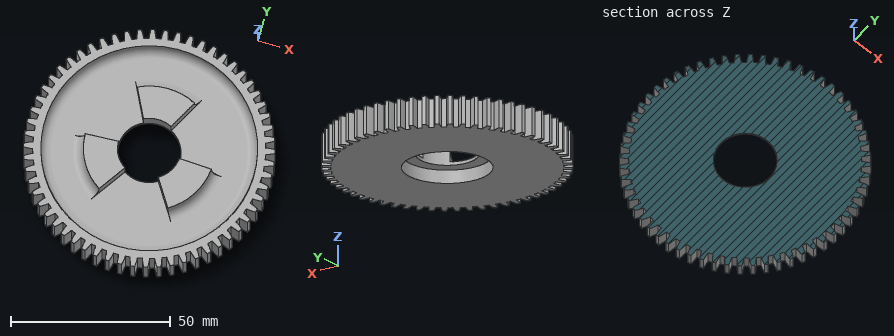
import cadquery as cq
import math

OVERALL_SIZE = 78.7
THICKNESS = 9.5
TOOTH_COUNT = 60
TOOTH_DEPTH = 2.9
TIP_WIDTH = 1.25
MID_WIDTH = 1.9
ROOT_WIDTH = 2.3

POCKET_RADIUS = 33.9
POCKET_DEPTH = 3.9
FILLET_RADIUS = 3.15

BORE_RADIUS = 9.9
COUNTERBORE_RADIUS = 14.3
WEB_AT_BORE = 1.2

DOG_COUNT = 3
DOG_RADIUS = 20.6
DOG_ANGLE = 54.0
FIRST_DOG_DIRECTION = 90.0

PITCH_ANGLE = 360.0 / TOOTH_COUNT
TIP_HALF_ANGLE = math.degrees(TIP_WIDTH / OVERALL_SIZE)
TIP_RADIUS = OVERALL_SIZE / 2 / math.cos(math.radians(PITCH_ANGLE / 2 - TIP_HALF_ANGLE))
ROOT_RADIUS = TIP_RADIUS - TOOTH_DEPTH
MID_RADIUS = TIP_RADIUS - TOOTH_DEPTH / 2
FLOOR_Z = THICKNESS - POCKET_DEPTH
COUNTERBORE_DEPTH = FLOOR_Z - WEB_AT_BORE
FILLET_TOP_Z = FLOOR_Z + FILLET_RADIUS


def polar(radius, degrees):
    angle = math.radians(degrees)
    return (radius * math.cos(angle), radius * math.sin(angle))


def half_angle(width, radius):
    return math.degrees(width / 2 / radius)


def toothed_blank():
    """Solid gear disc with curved tooth flanks."""
    mid_half = half_angle(MID_WIDTH, MID_RADIUS)
    root_half = half_angle(ROOT_WIDTH, ROOT_RADIUS)
    first_center = PITCH_ANGLE / 2
    outline = cq.Workplane("XY").moveTo(*polar(ROOT_RADIUS, first_center - root_half))
    for index in range(TOOTH_COUNT):
        center = first_center + index * PITCH_ANGLE
        next_gap = center + PITCH_ANGLE / 2
        next_root = center + PITCH_ANGLE - root_half
        outline = (
            outline
            .threePointArc(polar(MID_RADIUS, center - mid_half), polar(TIP_RADIUS, center - TIP_HALF_ANGLE))
            .threePointArc(polar(TIP_RADIUS, center), polar(TIP_RADIUS, center + TIP_HALF_ANGLE))
            .threePointArc(polar(MID_RADIUS, center + mid_half), polar(ROOT_RADIUS, center + root_half))
            .threePointArc(polar(ROOT_RADIUS, next_gap), polar(ROOT_RADIUS, next_root))
        )
    return outline.close().extrude(THICKNESS)


def pocket():
    """Volume removed from the top, rounded where its wall meets its floor."""
    return (
        cq.Workplane("XY", origin=(0, 0, FLOOR_Z))
        .circle(POCKET_RADIUS)
        .extrude(POCKET_DEPTH)
        .faces("<Z").edges().fillet(FILLET_RADIUS)
    )


def dog(direction):
    """Sector flush with the rim, flaring out to the floor on its outer side."""
    corner_offset = FILLET_RADIUS * (1 - math.sqrt(0.5))
    return (
        cq.Workplane("XZ")
        .moveTo(BORE_RADIUS, FLOOR_Z)
        .lineTo(DOG_RADIUS + FILLET_RADIUS, FLOOR_Z)
        .threePointArc(
            (DOG_RADIUS + corner_offset, FLOOR_Z + corner_offset),
            (DOG_RADIUS, FILLET_TOP_Z),
        )
        .lineTo(DOG_RADIUS, THICKNESS)
        .lineTo(BORE_RADIUS, THICKNESS)
        .close()
        .revolve(DOG_ANGLE, (0, 0, 0), (0, 1, 0))
        .rotate((0, 0, 0), (0, 0, 1), direction - DOG_ANGLE / 2)
    )


result = toothed_blank().cut(pocket())
result = result.cut(cq.Workplane("XY").circle(BORE_RADIUS).extrude(THICKNESS))
result = result.cut(cq.Workplane("XY").circle(COUNTERBORE_RADIUS).extrude(COUNTERBORE_DEPTH))
for dog_index in range(DOG_COUNT):
    result = result.union(dog(FIRST_DOG_DIRECTION + dog_index * 360.0 / DOG_COUNT))